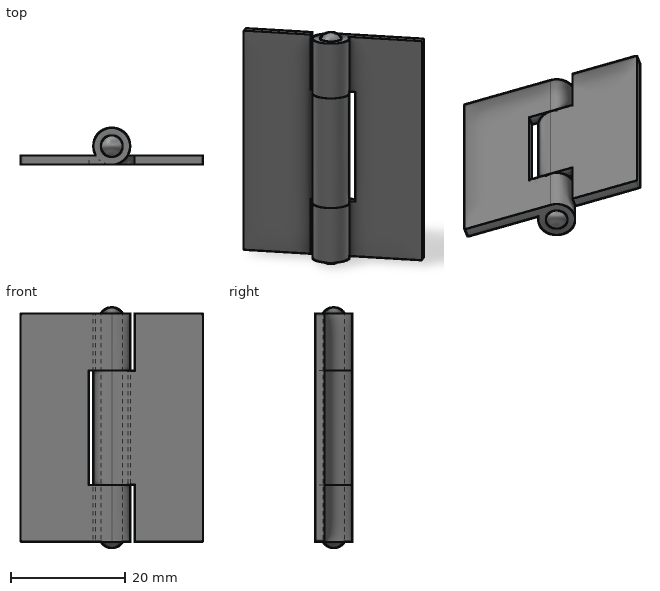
import cadquery as cq

total_height = 42.2
leaf_height = 40.0
hinge_width = 32.0
barrel_diameter = 6.5
leaf_thickness = 1.65
pin_diameter = 3.8
notch_depth_past_axis = 4.0
corner_radius = 0.3

barrel_radius = barrel_diameter / 2
pin_radius = pin_diameter / 2
leaf_reach = hinge_width / 2
middle_knuckle_height = leaf_height / 2
end_knuckle_height = (leaf_height - middle_knuckle_height) / 2
end_knuckle_center = (middle_knuckle_height + end_knuckle_height) / 2


def upright_box(x_start, x_end, height):
    """Plate segment flush with the front tangent of the barrel."""
    return (
        cq.Workplane("XY")
        .box(x_end - x_start, leaf_thickness, height, centered=(False, False, True))
        .translate((x_start, -barrel_radius, 0))
    )


def make_plate():
    """Flat part of a leaf on the -X side, with rounded outer corners."""
    plate = upright_box(-leaf_reach, -notch_depth_past_axis, leaf_height)
    return plate.edges("|Y and <X").fillet(corner_radius)


def make_knuckle(height, z_center):
    """Barrel segment with the web that joins it to the -X plate."""
    barrel = cq.Workplane("XY").circle(barrel_radius).extrude(height / 2, both=True)
    web = upright_box(-notch_depth_past_axis, 0, height)
    bore = cq.Workplane("XY").circle(pin_radius).extrude(height / 2, both=True)
    return barrel.union(web).cut(bore).translate((0, 0, z_center))


def make_outer_leaf():
    """Leaf on the -X side with a knuckle at each end."""
    leaf = make_plate()
    for side in (-1, 1):
        leaf = leaf.union(make_knuckle(end_knuckle_height, side * end_knuckle_center))
    return leaf


def make_middle_leaf():
    """Leaf on the +X side with one central knuckle."""
    leaf = make_plate().union(make_knuckle(middle_knuckle_height, 0))
    return leaf.mirror("YZ")


def make_pin():
    """Pin filling the bore, with a spherical dome beyond each end of the barrel."""
    dome_height = (total_height - leaf_height) / 2
    dome_radius = (pin_radius**2 + dome_height**2) / (2 * dome_height)
    half_shank = leaf_height / 2
    half_total = total_height / 2
    mid_height = dome_height / 2
    mid_radius = (2 * dome_radius * mid_height - mid_height**2) ** 0.5
    mid_z = half_total - mid_height
    return (
        cq.Workplane("XZ")
        .moveTo(0, -half_total)
        .threePointArc((mid_radius, -mid_z), (pin_radius, -half_shank))
        .lineTo(pin_radius, half_shank)
        .threePointArc((mid_radius, mid_z), (0, half_total))
        .close()
        .revolve(360, (0, 0, 0), (0, 1, 0))
    )


outer_leaf = make_outer_leaf()
middle_leaf = make_middle_leaf()
pin = make_pin()

bodies = [outer_leaf, middle_leaf, pin]
result = cq.Compound.makeCompound([body.solids().val() for body in bodies])